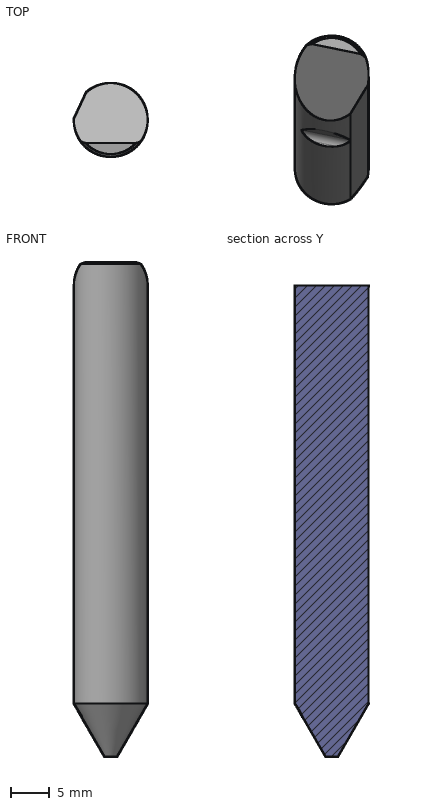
import cadquery as cq
import math

length = 63.5
radius = 4.75
diameter = 2 * radius

tip_radius = 0.8
point_half_angle = 30.0
point_height = (radius - tip_radius) / math.tan(math.radians(point_half_angle))

bevel_width = 0.4
bevel_height = 0.25

land_edge_y = -3.0
slant_angle = 45.0

flat_direction = 155.0
flat_distance = 4.4

notch_top = 49.5
notch_bottom = 40.5
notch_depth = 1.4
notch_corner_radius = 0.95
notch_clearance = 0.3


def pin_blank():
    """Round pin with a pointed lower end and a bevelled top rim."""
    half_profile = [
        (0, 0),
        (tip_radius, 0),
        (radius, point_height),
        (radius, length - bevel_height),
        (radius - bevel_width, length),
        (0, length),
    ]
    return cq.Workplane("XZ").polyline(half_profile).close().revolve(360, (0, 0), (0, 1))


def side_cutter(outline):
    """Closed YZ outline extruded across the whole pin."""
    return outline.close().extrude(diameter, both=True)


def slant_cutter():
    """Wedge removed above the slanted top face."""
    run = diameter - land_edge_y
    drop = run * math.tan(math.radians(slant_angle))
    outline = cq.Workplane("YZ").polyline(
        [(land_edge_y, length), (diameter, length - drop), (diameter, length)]
    )
    return side_cutter(outline)


def notch_cutter():
    """Triangular notch whose deepest corner is rounded."""
    floor_slope = notch_depth / (notch_top - notch_bottom)
    outer_y = radius + notch_clearance
    outline = cq.Workplane("YZ").polyline(
        [
            (outer_y, notch_top + notch_clearance / floor_slope),
            (radius - notch_depth, notch_bottom),
            (outer_y, notch_bottom),
        ]
    )
    cutter = side_cutter(outline)
    return cutter.edges("|X").edges("<Y").fillet(notch_corner_radius)


def flat_cutter():
    """Full-height block outside the lengthwise flat."""
    block = cq.Workplane("XY").box(diameter, diameter, length, centered=(False, True, False))
    return block.translate((flat_distance, 0, 0)).rotate((0, 0, 0), (0, 0, 1), flat_direction)


result = pin_blank().cut(slant_cutter()).cut(flat_cutter()).cut(notch_cutter())